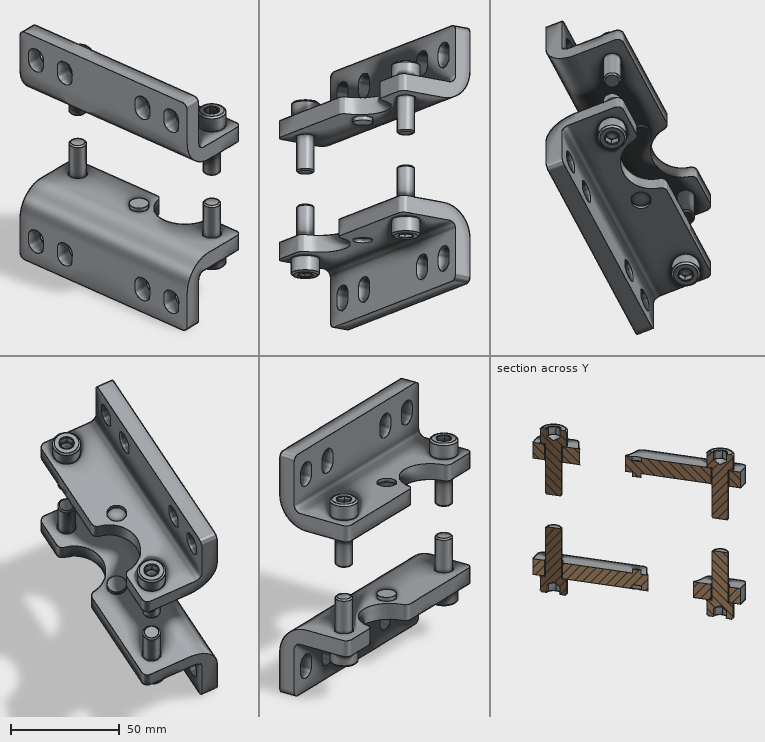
import cadquery as cq
import math

WIDTH = 102.0
DEPTH = 38.0
HEIGHT = 122.0
GAP = 50.0

THICKNESS = 8.0
BEND_OUTER_RADIUS = 15.0
BEND_INNER_RADIUS = 3.7
CORNER_RADIUS = 3.0

SLOT_WIDTH = 9.0
SLOT_LENGTH = 12.0
SLOT_EDGE_DISTANCE = 12.5
SLOT_OFFSETS = (23.7, 41.2)

NOTCH_OFFSET = 16.7
NOTCH_RADIUS = 14.4
NOTCH_LIP_RADIUS = 3.0

BOSS_DIAMETER = 9.0
BOSS_HEIGHT = 2.0
BOSS_EDGE_DISTANCE = 13.0

SCREW_SPACING = 81.7
SCREW_EDGE_DISTANCE = 9.0
SCREW_DIAMETER = 8.0
SCREW_HOLE_DIAMETER = 8.8
SCREW_LENGTH = 25.0
SCREW_TIP_CHAMFER = 0.7
HEAD_DIAMETER = 13.0
HEAD_HEIGHT = 8.0
HEAD_CHAMFER = 0.9
HEAD_SEAT_CHAMFER = 0.4
SOCKET_FLATS = 6.0
SOCKET_DEPTH = 4.0
SOCKET_MOUTH_DIAMETER = 7.1
SOCKET_CONE_ANGLE = 120

FACING_Z = -GAP / 2
HEAD_SEAT_Z = FACING_Z - THICKNESS
LEG_END_Z = -HEIGHT / 2
EDGE_Y = DEPTH
SCREW_Y = EDGE_Y - SCREW_EDGE_DISTANCE
SCREW_POSITIONS = [(side * SCREW_SPACING / 2, SCREW_Y) for side in (-1, 1)]


def make_angle():
    """Bent L-section with rounded bends and rounded free corners."""
    angle = (
        cq.Workplane("YZ")
        .moveTo(0, LEG_END_Z)
        .lineTo(0, FACING_Z - BEND_OUTER_RADIUS)
        .radiusArc((BEND_OUTER_RADIUS, FACING_Z), BEND_OUTER_RADIUS)
        .lineTo(EDGE_Y, FACING_Z)
        .lineTo(EDGE_Y, HEAD_SEAT_Z)
        .lineTo(THICKNESS + BEND_INNER_RADIUS, HEAD_SEAT_Z)
        .radiusArc((THICKNESS, HEAD_SEAT_Z - BEND_INNER_RADIUS), -BEND_INNER_RADIUS)
        .lineTo(THICKNESS, LEG_END_Z)
        .close()
        .extrude(WIDTH / 2, both=True)
    )
    angle = angle.edges("|Z and >Y").fillet(CORNER_RADIUS)
    return angle.edges("|Y and <Z").fillet(CORNER_RADIUS)


def make_slots():
    """Cutters for the upright slots in the leg."""
    positions = [
        (side * offset, LEG_END_Z + SLOT_EDGE_DISTANCE)
        for side in (-1, 1)
        for offset in SLOT_OFFSETS
    ]
    return (
        cq.Workplane("XZ")
        .pushPoints(positions)
        .slot2D(SLOT_LENGTH, SLOT_WIDTH, 90)
        .extrude(-THICKNESS)
    )


def make_notch():
    """Cutter for the circular notch, flared by a rounded lip at each end."""
    lip_span = math.sqrt((NOTCH_RADIUS + NOTCH_LIP_RADIUS) ** 2 - NOTCH_LIP_RADIUS ** 2)
    tangency = NOTCH_RADIUS / (NOTCH_RADIUS + NOTCH_LIP_RADIUS)
    tangent_x = lip_span * tangency
    tangent_y = EDGE_Y - NOTCH_LIP_RADIUS * tangency
    return (
        cq.Workplane("XY", origin=(NOTCH_OFFSET, 0, HEAD_SEAT_Z))
        .moveTo(-lip_span, EDGE_Y)
        .radiusArc((-tangent_x, tangent_y), NOTCH_LIP_RADIUS)
        .threePointArc((0, EDGE_Y - NOTCH_RADIUS), (tangent_x, tangent_y))
        .radiusArc((lip_span, EDGE_Y), NOTCH_LIP_RADIUS)
        .close()
        .extrude(THICKNESS)
    )


def make_boss_cylinder(base_z):
    """Cylinder of the boss size standing on the given height."""
    return (
        cq.Workplane("XY", origin=(0, EDGE_Y - BOSS_EDGE_DISTANCE, base_z))
        .circle(BOSS_DIAMETER / 2)
        .extrude(BOSS_HEIGHT)
    )


def make_bracket():
    """Lower bracket, with its leg pointing down."""
    screw_holes = (
        cq.Workplane("XY", origin=(0, 0, HEAD_SEAT_Z))
        .pushPoints(SCREW_POSITIONS)
        .circle(SCREW_HOLE_DIAMETER / 2)
        .extrude(THICKNESS)
    )
    return (
        make_angle()
        .cut(make_slots())
        .cut(make_notch())
        .cut(screw_holes)
        .cut(make_boss_cylinder(HEAD_SEAT_Z))
        .union(make_boss_cylinder(FACING_Z))
    )


def make_cone(diameter, base_z):
    """Upright cone of the socket's cone angle on the given base."""
    height = diameter / 2 / math.tan(math.radians(SOCKET_CONE_ANGLE / 2))
    cone = cq.Solid.makeCone(diameter / 2, 0, height, pnt=cq.Vector(0, 0, base_z))
    return cq.Workplane(cone)


def make_socket():
    """Cutter for the hexagon socket, with a countersunk mouth and a conical floor."""
    hexagon = (
        cq.Workplane("XY")
        .polygon(6, SOCKET_FLATS, circumscribed=True)
        .extrude(SOCKET_DEPTH)
    )
    mouth = make_cone(SOCKET_MOUTH_DIAMETER, 0)
    floor = make_cone(SOCKET_FLATS, SOCKET_DEPTH)
    return hexagon.union(mouth).union(floor)


def make_screw(x, y):
    """Socket head screw pointing up, its head seated under the lower flange."""
    head_end_z = HEAD_SEAT_Z - HEAD_HEIGHT
    head = (
        cq.Workplane("XY", origin=(x, y, head_end_z))
        .circle(HEAD_DIAMETER / 2)
        .extrude(HEAD_HEIGHT)
        .faces("<Z").chamfer(HEAD_CHAMFER)
        .faces(">Z").chamfer(HEAD_SEAT_CHAMFER)
    )
    shank = (
        cq.Workplane("XY", origin=(x, y, HEAD_SEAT_Z))
        .circle(SCREW_DIAMETER / 2)
        .extrude(SCREW_LENGTH)
        .faces(">Z").chamfer(SCREW_TIP_CHAMFER)
    )
    socket = make_socket().translate((x, y, head_end_z))
    return head.union(shank).cut(socket)


def turn_over(body):
    """Half turn about the Y axis, carrying a lower body to its upper place."""
    return body.rotate((0, 0, 0), (0, 1, 0), 180)


lower_bracket = make_bracket()
upper_bracket = turn_over(lower_bracket)
lower_screws = [make_screw(x, y) for x, y in SCREW_POSITIONS]
upper_screws = [turn_over(screw) for screw in lower_screws]

bodies = [lower_bracket, upper_bracket, *lower_screws, *upper_screws]
result = cq.Compound.makeCompound([body.solids().val() for body in bodies])